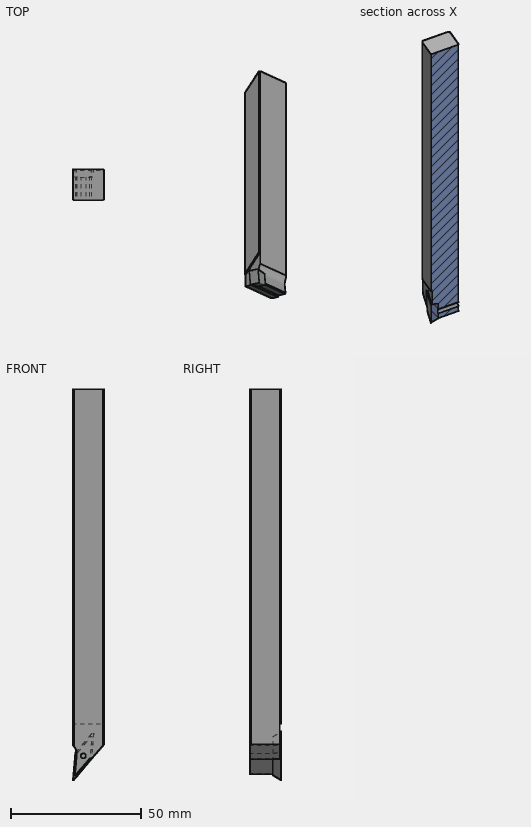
import cadquery as cq
import math

length = 150.0
width = 12.0
half = width / 2
edge_chamfer = 0.5

insert_side = 11.1
insert_thickness = 3.2
insert_angle = 35.0
nose_radius = 0.2
lead_angle = 5.0
clearance_angle = 11.0
seat_y = half - insert_thickness
clearance = insert_thickness * math.tan(math.radians(clearance_angle))

head_drop = 0.5
head_top = 21.8
relief_top = 13.5
relief_bottom = 9.2
relief_x = -4.5
slope_top = 13.8
tip_left = (-5.1, 2.7)
tip_bottom = (-4.8, 2.2)
screw_hole_diameter = 2.0

right_edge_angle = lead_angle + insert_angle
bisector_angle = lead_angle + insert_angle / 2


def from_nose(distance, angle):
    """XZ point at a distance from the lower nose's centre, at an angle to the right of vertical."""
    turn = math.radians(angle)
    return (-half + nose_radius + distance * math.sin(turn), nose_radius + distance * math.cos(turn))


corner = from_nose(-nose_radius / math.sin(math.radians(insert_angle / 2)), bisector_angle)


def from_corner(distance, angle):
    """XZ point at a distance from the insert's lower corner, at an angle to the right of vertical."""
    turn = math.radians(angle)
    return (corner[0] + distance * math.sin(turn), corner[1] + distance * math.cos(turn))


half_diagonal = insert_side * math.cos(math.radians(insert_angle / 2))
insert_right = from_corner(insert_side, right_edge_angle)
insert_far = from_corner(2 * half_diagonal, bisector_angle)
insert_centre = from_corner(half_diagonal, bisector_angle)


def xz_plane(y):
    """Sketch plane at a given Y, with local axes X and Z and extrusion toward -Y."""
    return cq.Workplane("XZ", origin=(0, y, 0))


def insert_section(inset):
    """Rhombus with its two sharp corners rounded and its sides moved inward by an inset."""
    obtuse_shift = inset / math.cos(math.radians(insert_angle / 2))
    acute_shift = inset / math.sin(math.radians(insert_angle / 2))
    long_reach = half_diagonal - acute_shift
    short_reach = insert_side * math.sin(math.radians(insert_angle / 2)) - obtuse_shift
    bottom, right, top, left = (0, -long_reach), (short_reach, 0), (0, long_reach), (-short_reach, 0)
    return cq.Sketch().polygon([bottom, right, top, left, bottom]).vertices("<Y or >Y").fillet(nose_radius)


def make_insert():
    """Rhombic plate whose sides lean inward from its upper face to its seat."""
    plane = xz_plane(half).center(*insert_centre).transformed(rotate=(0, 0, -bisector_angle))
    seat_section = insert_section(clearance).moved(cq.Location(cq.Vector(0, 0, insert_thickness)))
    return plane.placeSketch(insert_section(0), seat_section).loft(ruled=True)


def make_shank():
    """Square bar with its four long edges chamfered."""
    bar = cq.Workplane("XY").box(width, width, length, centered=(True, True, False))
    return bar.edges("|Z").chamfer(edge_chamfer)


def head_profile():
    """Outline of the holder: relieved on the left, slanted on the right down to the tip."""
    flank_inset = clearance / math.cos(math.radians(right_edge_angle))
    ledge = (insert_right[0] - flank_inset, insert_right[1])
    return (
        xz_plane(half)
        .moveTo(-half, length)
        .lineTo(half, length)
        .lineTo(half, slope_top)
        .lineTo(*insert_right)
        .lineTo(*ledge)
        .lineTo(*tip_bottom)
        .lineTo(*tip_left)
        .lineTo(relief_x, relief_bottom)
        .tangentArcPoint((-half, relief_top), relative=False)
        .close()
    )


def make_holder(insert):
    """Shank cut to the head outline, with the insert's recess and the screw hole behind it."""
    holder = make_shank().intersect(head_profile().extrude(width))
    lowered_face = cq.Workplane("XY").box(width, head_drop, head_top, centered=(True, False, False))
    holder = holder.cut(lowered_face.translate((0, half - head_drop, 0)))
    holder = holder.cut(insert)
    screw_hole = xz_plane(seat_y).center(*insert_centre).circle(screw_hole_diameter / 2).extrude(width)
    return holder.cut(screw_hole).solids()


insert = make_insert()
holder = make_holder(insert)

result = cq.Compound.makeCompound([holder.val(), insert.val()])